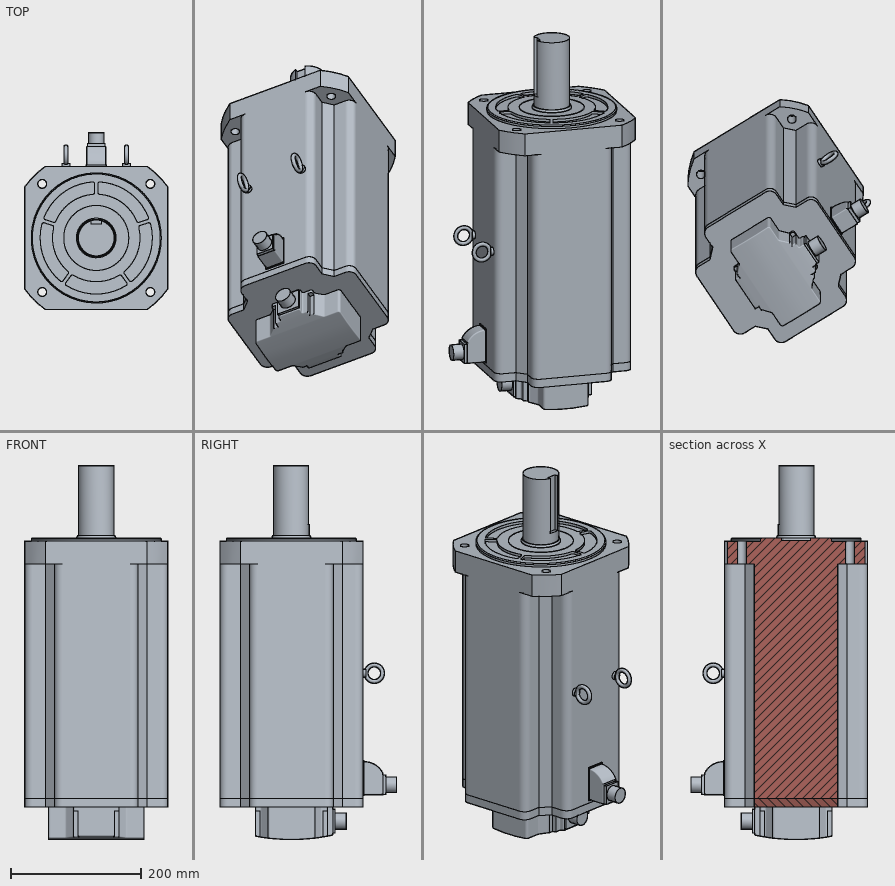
import cadquery as cq
import math


overall_width = 220.0
half_width = overall_width / 2
shaft_top = 116.0
stator_bottom = -395.5
cap_bottom = -409.0
cover_bottom = -459.0

flange_thickness = 35.0
flange_corner_radius = 135.0
bolt_spacing = 166.0
bolt_hole_diameter = 13.0

pilot_radius = 100.0
pilot_height = 5.0
pilot_chamfer = 2.0
recess_radius = 50.0
recess_depth = 0.5
pocket_outer_radius = 86.0
pocket_inner_radius = 67.0
pocket_count = 5
pocket_rib = 5.0
pocket_corner = 3.0
pocket_depth = 4.0

shaft_radius = 27.5
seal_bottom_radius = 30.5
seal_top_radius = 29.0
seal_height = 3.5
key_width = 16.0
key_floor = 21.0
key_length = 90.0

side_half = 52.5
shoulder_radius = 12.0
shoulder_x = half_width - shoulder_radius
step_inset = side_half + shoulder_radius
flange_corner = math.sqrt(flange_corner_radius**2 - half_width**2)

eye_x = 46.5
eye_z = -203.0
eye_standoff = 17.0
eye_ring_radius = 12.5
eye_wire_radius = 3.15
eye_stem_radius = 6.5
eye_stem_length = 4.5

power_z = -374.5
power_width = 30.0
power_base_width = 31.0
power_base_depth = 2.0
power_base_top = -337.0
power_base_bottom = -391.0
power_body_top = -338.5
power_body_bottom = -390.0
power_body_depth = 30.5
power_hood_radius = 32.0
power_edge_radius = 2.0
power_collar_width = 27.0
power_collar_height = 30.5
power_collar_reach = 35.0
power_plug_radius = 12.0
power_plug_reach = 52.0

cover_half_x = 73.5
cover_half_y = 36.0
boss_half_x = 35.0
boss_half_y = 55.0
boss_shoulder_x = 46.5
boss_shoulder_y = 46.5
cover_corner_radius = 4.0
boss_corner_radius = 3.5
cover_dome_radius = 287.5
cover_rim_radius = 2.0
screw_notch = 7.0
screw_tab = 6.0

encoder_z = -430.0
encoder_mount_width = 38.0
encoder_mount_end = 64.0
encoder_edge_radius = 3.0
encoder_root_radius = 2.0
encoder_plate_size = 37.0
encoder_plate_end = 67.0
encoder_plug_radius = 12.5
encoder_plug_end = 84.5


def y_box(width, bottom, top, start, end):
    """Block centred on x = 0 that runs along Y from start to end."""
    block = cq.Workplane().box(width, end - start, top - bottom, centered=(True, False, False))
    return block.translate((0, start, bottom))


def y_rod(radius, x, z, start, end):
    """Round rod that runs along +Y from start to end."""
    plane = cq.Plane(origin=(x, start, z), xDir=(1, 0, 0), normal=(0, 1, 0))
    return cq.Workplane(plane).circle(radius).extrude(end - start)


def rotate_quarter(point, quarter):
    """Turn a plan point about the motor axis by a number of quarter turns."""
    x, y = point
    for _ in range(quarter):
        x, y = -y, x
    return x, y


def stator_section(bottom, top):
    """Square prism whose four corners are stepped, with rounded shoulders beside each step."""
    arc_middle = shoulder_radius * math.sqrt(0.5)
    corner = [
        (half_width, side_half),
        (shoulder_x + arc_middle, side_half + arc_middle),
        (shoulder_x, step_inset),
        (flange_corner, step_inset),
        (step_inset, flange_corner),
        (step_inset, shoulder_x),
        (side_half + arc_middle, shoulder_x + arc_middle),
        (side_half, half_width),
    ]
    outline = cq.Workplane().workplane(offset=bottom).moveTo(half_width, -side_half)
    for quarter in range(4):
        points = [rotate_quarter(point, quarter) for point in corner]
        outline = outline.lineTo(*points[0]).threePointArc(points[1], points[2])
        for point in points[3:6]:
            outline = outline.lineTo(*point)
        outline = outline.threePointArc(points[6], points[7])
    return outline.close().extrude(top - bottom)


def flange():
    """Square flange with corners rounded about the motor axis and four bolt holes."""
    plate = cq.Workplane().rect(overall_width, overall_width).extrude(-flange_thickness)
    plate = plate.intersect(cq.Workplane().circle(flange_corner_radius).extrude(-flange_thickness))
    holes = (
        cq.Workplane()
        .rect(bolt_spacing, bolt_spacing, forConstruction=True)
        .vertices()
        .circle(bolt_hole_diameter / 2)
        .extrude(-flange_thickness)
    )
    return plate.cut(holes)


def pilot():
    """Locating disc with a shallow centre recess and arc pockets separated by ribs."""
    disc = cq.Workplane().circle(pilot_radius).extrude(pilot_height)
    disc = disc.faces(">Z").edges().chamfer(pilot_chamfer)
    recess_floor = pilot_height - recess_depth
    recess = cq.Workplane().workplane(offset=recess_floor).circle(recess_radius).extrude(recess_depth)

    pockets = (
        cq.Workplane()
        .workplane(offset=pilot_height - pocket_depth)
        .circle(pocket_outer_radius)
        .circle(pocket_inner_radius)
        .extrude(pocket_depth)
    )
    for index in range(pocket_count):
        rib = y_box(pocket_rib, 0, pilot_height, 0, pilot_radius)
        pockets = pockets.cut(rib.rotate((0, 0, 0), (0, 0, 1), index * 360 / pocket_count))
    pockets = pockets.edges("|Z").fillet(pocket_corner)
    return disc.cut(recess).cut(pockets)


def shaft():
    """Output shaft with a seal cone at its foot and a keyway on the +Y side."""
    shaft_rod = cq.Workplane().circle(shaft_radius).extrude(shaft_top)
    seal_top = pilot_height + seal_height
    seal = (
        cq.Workplane("XZ")
        .polyline(
            [
                (0, 0),
                (seal_bottom_radius, 0),
                (seal_bottom_radius, pilot_height),
                (seal_top_radius, seal_top),
                (0, seal_top),
            ]
        )
        .close()
        .revolve(360, (0, 0), (0, 1))
    )
    keyway = y_box(key_width, shaft_top - key_length, shaft_top, key_floor, shaft_radius)
    return shaft_rod.cut(keyway).union(seal)


def lifting_eye(x):
    """Ring in the YZ plane on a short round stem."""
    centre_y = half_width + eye_standoff
    torus = cq.Solid.makeTorus(
        eye_ring_radius, eye_wire_radius, cq.Vector(x, centre_y, eye_z), cq.Vector(1, 0, 0)
    )
    stem = y_rod(eye_stem_radius, x, eye_z, half_width, half_width + eye_stem_length)
    return stem.union(cq.Workplane(torus))


def power_connector():
    """Hooded connector body on a base plate, with a collar and a round plug."""
    base = y_box(
        power_base_width, power_base_bottom, power_base_top, half_width, half_width + power_base_depth
    )
    hood_end = half_width + power_body_depth
    hood_start = half_width + power_base_depth
    body = y_box(power_width, power_body_bottom, power_body_top, half_width, hood_end)
    hood_centre_z = power_body_top - power_hood_radius
    hood = (
        cq.Workplane("YZ", origin=(-power_width / 2, 0, 0))
        .center(hood_start, hood_centre_z)
        .circle(power_hood_radius)
        .extrude(power_width)
    )
    lower_block = y_box(power_width, power_body_bottom, hood_centre_z, half_width, hood_end)
    wall_block = y_box(power_width, power_body_bottom, power_body_top, half_width, hood_start)
    body = body.intersect(hood.union(lower_block).union(wall_block))
    body = body.faces("<X or >X").edges("not <Y").fillet(power_edge_radius)
    collar = y_box(
        power_collar_width,
        power_z - power_collar_height / 2,
        power_z + power_collar_height / 2,
        hood_end,
        half_width + power_collar_reach,
    )
    plug = y_rod(power_plug_radius, 0, power_z, hood_end, half_width + power_plug_reach)
    return base.union(body).union(collar).union(plug)


def encoder_cover():
    """Domed cover: a wide block with a boss on each Y side and notched screw corners."""
    height = cap_bottom - cover_bottom
    quarter = [
        (cover_half_x, cover_half_y),
        (boss_shoulder_x, cover_half_y),
        (boss_half_x, boss_shoulder_y),
        (boss_half_x, boss_half_y),
    ]
    upper_half = quarter + [(-x, y) for x, y in reversed(quarter)]
    outline = upper_half + [(-x, -y) for x, y in upper_half]
    cover = cq.Workplane().workplane(offset=cover_bottom).polyline(outline).close().extrude(height)

    cover = cover.edges("|Z").edges("not (<Y or >Y)").fillet(cover_corner_radius)
    cover = cover.edges("|Z").edges("<Y or >Y").fillet(boss_corner_radius)
    mount = y_box(encoder_mount_width, cover_bottom, cap_bottom, 0, encoder_mount_end)
    cover = cover.union(mount.edges("|Z and >Y").fillet(encoder_edge_radius))
    middle_z = (cover_bottom + cap_bottom) / 2
    for side_x in (-1, 1):
        root = cq.selectors.NearestToPointSelector((side_x * encoder_mount_width / 2, boss_half_y, middle_z))
        cover = cover.edges("|Z").edges(root).fillet(encoder_root_radius)

    dome = (
        cq.Workplane("YZ", origin=(-cover_half_x, 0, 0))
        .center(0, cover_bottom + cover_dome_radius)
        .circle(cover_dome_radius)
        .extrude(2 * cover_half_x)
    )
    cover = cover.intersect(dome)
    for side_x in (-1, 1):
        for side_y in (-1, 1):
            notch = (
                cq.Workplane()
                .box(2 * screw_notch, 2 * screw_notch, height - screw_tab, centered=(True, True, False))
                .translate((side_x * boss_half_x, side_y * boss_half_y, cover_bottom))
            )
            cover = cover.cut(notch)
    return cover.faces("<Z").edges().fillet(cover_rim_radius)


def encoder_connector():
    """Square plate and round plug on the cover's connector mount."""
    half_plate = encoder_plate_size / 2
    plate = y_box(
        encoder_plate_size,
        encoder_z - half_plate,
        encoder_z + half_plate,
        encoder_mount_end,
        encoder_plate_end,
    )
    plug = y_rod(encoder_plug_radius, 0, encoder_z, encoder_mount_end, encoder_plug_end)
    return plate.union(plug)


def motor_body():
    """Stator, flange, pilot, shaft, lifting eyes and power connector as one solid."""
    motor = stator_section(stator_bottom, -flange_thickness).union(flange())
    motor = motor.union(pilot()).union(shaft()).union(power_connector())
    for x in (-eye_x, eye_x):
        motor = motor.union(lifting_eye(x))
    return motor


def rear_cap():
    """Rear end plate with the encoder cover and its connector as one solid."""
    return stator_section(cap_bottom, stator_bottom).union(encoder_cover()).union(encoder_connector())


motor = motor_body()
cap = rear_cap()
result = cq.Compound.makeCompound([motor.val(), cap.val()])